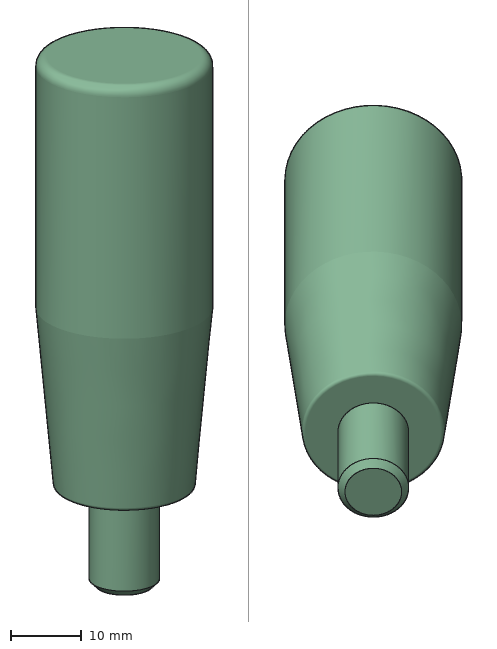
import cadquery as cq

TOTAL_LENGTH = 80.0
STUD_LENGTH = 15.0

STUD_DIAMETER = 10.0
STUD_CHAMFER = 1.0

GRIP_DIAMETER = 25.0
GRIP_CYLINDER_LENGTH = 38.0
GRIP_BASE_DIAMETER = 20.0
TOP_FILLET_RADIUS = 1.5
BASE_FILLET_RADIUS = 0.5

GRIP_BASE_Z = STUD_LENGTH
TAPER_TOP_Z = TOTAL_LENGTH - GRIP_CYLINDER_LENGTH


def make_stud():
    """Pin from the chamfered tip up to the underside of the grip."""
    stud = cq.Workplane("XY").circle(STUD_DIAMETER / 2).extrude(STUD_LENGTH)
    return stud.faces("<Z").edges().chamfer(STUD_CHAMFER)


def make_grip():
    """Cylinder on a taper that narrows toward the stud, with rounded end edges."""
    grip_profile = (
        cq.Workplane("XZ")
        .moveTo(0, GRIP_BASE_Z)
        .lineTo(GRIP_BASE_DIAMETER / 2, GRIP_BASE_Z)
        .lineTo(GRIP_DIAMETER / 2, TAPER_TOP_Z)
        .lineTo(GRIP_DIAMETER / 2, TOTAL_LENGTH)
        .lineTo(0, TOTAL_LENGTH)
        .close()
    )
    grip = grip_profile.revolve(360, (0, 0, 0), (0, 1, 0))
    grip = grip.faces(">Z").edges().fillet(TOP_FILLET_RADIUS)
    return grip.faces("<Z").edges().fillet(BASE_FILLET_RADIUS)


result = make_stud().union(make_grip())